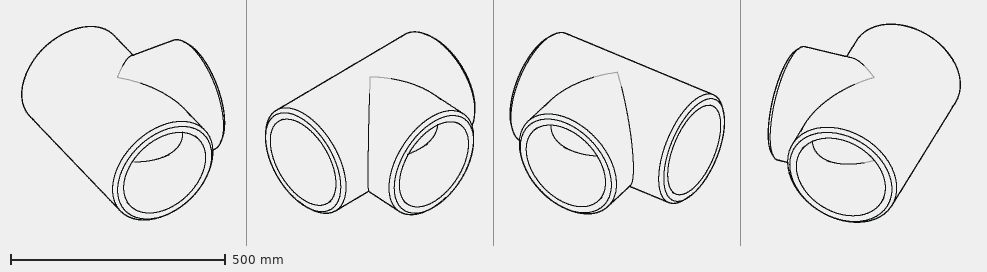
import cadquery as cq

run_length = 432.0
branch_reach = run_length / 2
outer_diameter = 273.0
bore_diameter = 223.0
bevel = 8.5


def cylinder_along_x(diameter):
    return cq.Workplane("YZ").circle(diameter / 2).extrude(run_length / 2, both=True)


def cylinder_along_y(diameter):
    return cq.Workplane("XZ").circle(diameter / 2).extrude(-branch_reach)


run = cylinder_along_x(outer_diameter).faces("<X or >X").edges().chamfer(bevel)
branch = cylinder_along_y(outer_diameter).faces(">Y").edges().chamfer(bevel)

bores = cylinder_along_x(bore_diameter).union(cylinder_along_y(bore_diameter))

result = run.union(branch).cut(bores)